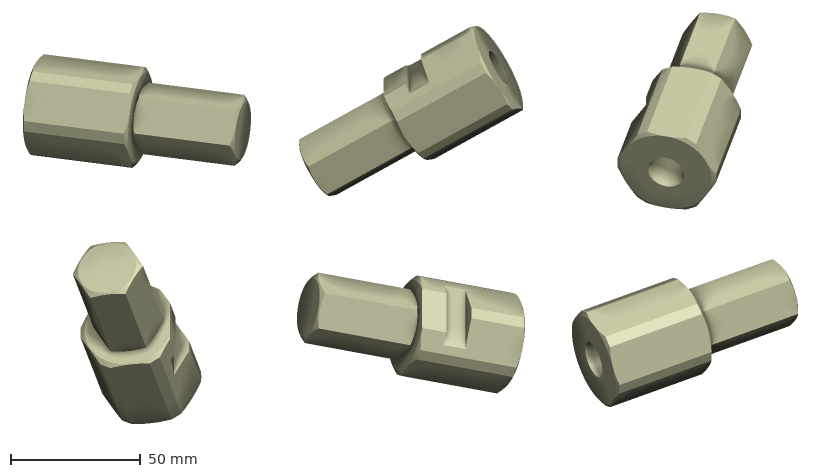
import cadquery as cq
import math

HOUSING_LENGTH = 42.1
HOUSING_FLATS = 36.0
HOUSING_CORNERS = 39.0
HOUSING_FRONT_FACE = 36.0
HOUSING_REAR_FACE = 35.35
BORE_DIAMETER = 14.4

SLOT_START = 23.1
SLOT_END = 32.0
SLOT_FLOOR = 13.45
SEAT_FLOOR = 15.9

OVERALL_LENGTH = 83.0
STEM_LENGTH = OVERALL_LENGTH - HOUSING_LENGTH
STEM_FLATS = 24.0
STEM_FRONT_FACE = 23.3
STEM_REAR_FACE = 22.8

CHAMFER_ANGLE = 30.0


def hex_bar(across_flats, start, length, turn=0.0):
    """Hexagonal bar along X; without turn its corners point along Y."""
    corner_diameter = across_flats / math.cos(math.pi / 6)
    return (
        cq.Workplane("YZ", origin=(start, 0, 0))
        .polygon(6, corner_diameter)
        .extrude(length)
        .rotate((0, 0, 0), (1, 0, 0), turn)
    )


def chamfer_ends(bar, start, length, front_face, rear_face, across_flats):
    """Turn a conical chamfer on both ends of a hexagonal bar."""
    corner_radius = across_flats / 2 / math.cos(math.pi / 6)
    slope = math.tan(math.radians(CHAMFER_ANGLE))
    front_depth = (corner_radius - front_face / 2) * slope
    rear_depth = (corner_radius - rear_face / 2) * slope
    end = start + length
    envelope = (
        cq.Workplane("XY")
        .moveTo(start, 0)
        .lineTo(start, front_face / 2)
        .lineTo(start + front_depth, corner_radius)
        .lineTo(end - rear_depth, corner_radius)
        .lineTo(end, rear_face / 2)
        .lineTo(end, 0)
        .close()
        .revolve(360, (0, 0, 0), (1, 0, 0))
    )
    return bar.intersect(envelope)


def side_cut(start, end, floor):
    """Block that removes everything beyond the floor on the +Y side."""
    depth = HOUSING_CORNERS / 2 - floor
    return cq.Workplane("XY").box(
        end - start, depth, HOUSING_FLATS, centered=(False, False, True)
    ).translate((start, floor, 0))


def make_housing():
    bar = hex_bar(HOUSING_FLATS, 0, HOUSING_LENGTH)
    corner_flats = hex_bar(HOUSING_CORNERS, 0, HOUSING_LENGTH, turn=30)
    body = chamfer_ends(
        bar.intersect(corner_flats), 0, HOUSING_LENGTH,
        HOUSING_FRONT_FACE, HOUSING_REAR_FACE, HOUSING_FLATS,
    )
    bore = cq.Workplane("YZ").circle(BORE_DIAMETER / 2).extrude(HOUSING_LENGTH)
    slot = side_cut(SLOT_START, SLOT_END, SLOT_FLOOR)
    seat = side_cut(SLOT_END, HOUSING_LENGTH, SEAT_FLOOR)
    return body.cut(bore).cut(slot).cut(seat)


def make_stem():
    bar = hex_bar(STEM_FLATS, HOUSING_LENGTH, STEM_LENGTH)
    return chamfer_ends(
        bar, HOUSING_LENGTH, STEM_LENGTH,
        STEM_FRONT_FACE, STEM_REAR_FACE, STEM_FLATS,
    )


housing = make_housing()
stem = make_stem()
result = cq.Compound.makeCompound([housing.val(), stem.val()])